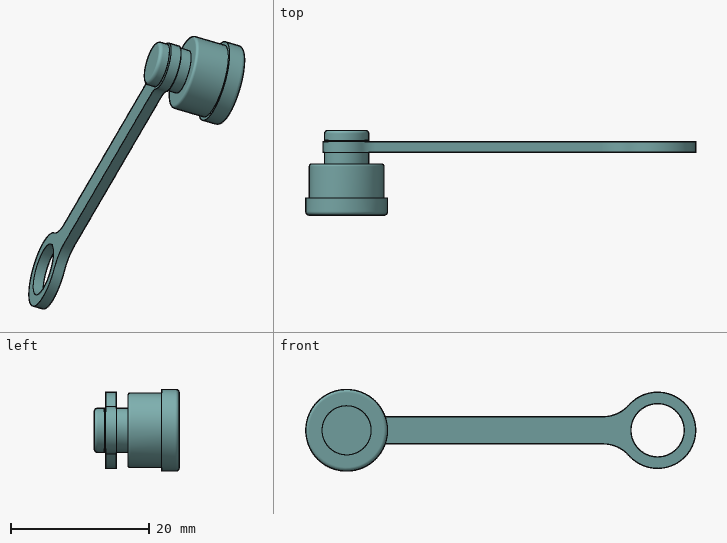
import cadquery as cq
import math

flange_radius = 5.9
flange_length = 2.55
body_radius = 5.4
body_end = 7.45
stem_radius = 3.2
cap_length = 12.3
bore_radius = 3.55
bore_depth = 6.2
rim_round = 0.5
shoulder_round = 0.4
stem_round = 0.5

groove_radius = 2.65
groove_width = 0.15

strap_start = 9.1
strap_thickness = 1.6
strap_end = strap_start + strap_thickness
strap_half_width = 2.0
collar_radius = 3.45
collar_blend = 3.0
ring_radius = 5.55
ring_hole_radius = 3.85
ring_blend = 5.0
total_length = 56.4
ring_x = total_length - flange_radius - ring_radius


def cylinder(radius, start, end, x=0.0):
    """Solid cylinder along +Y between two Y positions."""
    plane = cq.Workplane("XZ", origin=(x, start, 0))
    return plane.circle(radius).extrude(start - end)


def make_cap():
    flange = cylinder(flange_radius, 0, flange_length).faces("<Y").edges().fillet(rim_round)
    body = cylinder(body_radius, 0, body_end).faces(">Y").edges().fillet(shoulder_round)
    stem = cylinder(stem_radius, 0, cap_length).faces(">Y").edges().fillet(stem_round)
    groove_end = strap_end + groove_width
    groove = cylinder(stem_radius, strap_end, groove_end).cut(
        cylinder(groove_radius, strap_end, groove_end)
    )
    bore = cylinder(bore_radius, 0, bore_depth)
    return flange.union(body).union(stem).cut(groove).cut(bore)


def blend_points(end_radius, blend_radius):
    """Start, middle and end of the concave arc from a round end to the bar edge.

    The round end is centred on the origin and the bar runs towards +X.
    """
    center_z = strap_half_width + blend_radius
    center_x = math.sqrt((end_radius + blend_radius) ** 2 - center_z**2)
    start_angle = math.atan2(-center_z, -center_x)
    middle_angle = (start_angle - math.pi / 2) / 2

    def on_arc(angle):
        return (
            center_x + blend_radius * math.cos(angle),
            center_z + blend_radius * math.sin(angle),
        )

    return on_arc(start_angle), on_arc(middle_angle), on_arc(-math.pi / 2)


def make_strap():
    collar_touch, collar_middle, collar_bar = blend_points(collar_radius, collar_blend)
    ring_points = blend_points(ring_radius, ring_blend)
    ring_touch, ring_middle, ring_bar = [(ring_x - x, z) for x, z in ring_points]

    def mirrored(point):
        return (point[0], -point[1])

    outline = (
        cq.Workplane("XZ", origin=(0, strap_start, 0))
        .moveTo(*collar_touch)
        .threePointArc(collar_middle, collar_bar)
        .lineTo(*ring_bar)
        .threePointArc(ring_middle, ring_touch)
        .threePointArc((ring_x + ring_radius, 0), mirrored(ring_touch))
        .threePointArc(mirrored(ring_middle), mirrored(ring_bar))
        .lineTo(*mirrored(collar_bar))
        .threePointArc(mirrored(collar_middle), mirrored(collar_touch))
        .threePointArc((-collar_radius, 0), collar_touch)
        .close()
    )
    ring_hole = cylinder(ring_hole_radius, strap_start, strap_end, ring_x)
    return outline.extrude(-strap_thickness).cut(ring_hole)


result = make_cap().union(make_strap())